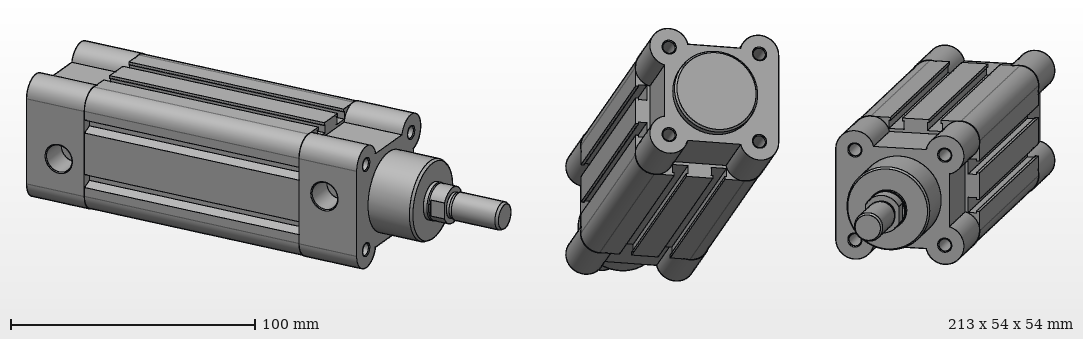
import cadquery as cq

overall_length = 213.0
plug_length = 4.0
cap_length = 27.0
barrel_length = 100.5
collar_length = 20.7

rear_cap_start = plug_length
barrel_start = rear_cap_start + cap_length
barrel_end = barrel_start + barrel_length
front_cap_end = barrel_end + cap_length
collar_end = front_cap_end + collar_length

cap_half_width = 27.0
lobe_offset = 19.0
lobe_radius = cap_half_width - lobe_offset
block_half_width = 20.9
collar_radius = 17.5
plug_chamfer_length = 0.9
plug_chamfer_depth = 0.9
collar_chamfer_length = 1.3
collar_chamfer_depth = 0.6

screw_radius = 2.5
screw_depth = 15.0
screw_chamfer = 0.5
port_radius = 6.0
port_chamfer = 0.5
port_depth = 12.8
port_inset = 15.1
port_height = 4.7

barrel_half_width = 26.8
barrel_corner_radius = barrel_half_width - lobe_offset
slot_offset = 8.0
slot_mouth_width = 5.1
slot_width = 6.4
slot_lip = 1.3
slot_depth = 4.7
groove_offset = 12.1
groove_mouth_width = 5.8
groove_floor_width = 2.5
groove_depth = 4.3

rod_radius = 8.0
rod_shoulder_length = 1.7
rod_taper_length = 0.6
neck_radius = 7.9
neck_end = 188.7
flat_half_width = 7.0
flat_start = 182.3
relief_radius = 5.5
relief_end = 190.0
thread_radius = 6.0
thread_start = 191.3
tip_chamfer_length = 1.3
tip_chamfer_depth = 0.6

SIGNS = (-1, 1)
CORNERS = [(lobe_offset * y, lobe_offset * z) for y in SIGNS for z in SIGNS]


def cross_section(x):
    """Sketch plane across the cylinder axis at x, with local axes along Y and Z."""
    return cq.Workplane("YZ", origin=(x, 0, 0))


def revolve_about_axis(half_profile):
    """Solid of revolution about the cylinder axis from (x, radius) points."""
    return cq.Workplane("XY").polyline(half_profile).close().revolve(360, (0, 0), (1, 0))


def cap_block(start):
    """Cap body: recessed on +Y and both Z sides, flat to its full width on -Y."""
    width = 2 * block_half_width
    plane = cross_section(start)
    square_depth = block_half_width + lobe_offset
    square_centre = (block_half_width - lobe_offset) / 2
    block = plane.center(square_centre, 0).rect(square_depth, width).extrude(cap_length)
    flat_side = plane.center(-cap_half_width / 2, 0).rect(cap_half_width, 2 * lobe_offset).extrude(cap_length)
    lobes = plane.pushPoints(CORNERS).circle(lobe_radius).extrude(cap_length)
    return block.union(flat_side).union(lobes)


def cut_chamfered_hole(body, centre, direction, radius, depth, chamfer):
    """Blind hole from centre along direction, with a 45 degree chamfer at its mouth."""
    start = cq.Vector(*centre)
    inward = cq.Vector(*direction)
    bore = cq.Solid.makeCylinder(radius, depth, start, inward)
    mouth = cq.Solid.makeCone(radius + chamfer, radius, chamfer, start, inward)
    return body.cut(cq.Workplane(bore)).cut(cq.Workplane(mouth))


def cut_screw_holes(cap, face_x, inward):
    """Four screw holes in the outer end face of a cap; inward is -1 or 1 along X."""
    for y, z in CORNERS:
        centre = (face_x, y, z)
        cap = cut_chamfered_hole(cap, centre, (inward, 0, 0), screw_radius, screw_depth, screw_chamfer)
    return cap


def cut_port(cap, x, z):
    """Air port in the -Y side of a cap."""
    centre = (x, -cap_half_width, z)
    return cut_chamfered_hole(cap, centre, (0, 1, 0), port_radius, port_depth, port_chamfer)


def chamfered_boss(base_x, tip_x, chamfer_length, chamfer_depth):
    """Round boss on a cap from base_x to tip_x, with its tip edge chamfered."""
    towards_base = 1 if base_x > tip_x else -1
    half_profile = [
        (base_x, 0),
        (base_x, collar_radius),
        (tip_x + towards_base * chamfer_length, collar_radius),
        (tip_x, collar_radius - chamfer_depth),
        (tip_x, 0),
    ]
    return revolve_about_axis(half_profile)


def make_rear_cap():
    plug = chamfered_boss(rear_cap_start, 0, plug_chamfer_length, plug_chamfer_depth)
    cap = cap_block(rear_cap_start).union(plug)
    cap = cut_screw_holes(cap, rear_cap_start, 1)
    return cut_port(cap, rear_cap_start + port_inset, -port_height)


def make_front_cap():
    collar = chamfered_boss(front_cap_end, collar_end, collar_chamfer_length, collar_chamfer_depth)
    cap = cap_block(barrel_end).union(collar)
    cap = cut_screw_holes(cap, front_cap_end, -1)
    return cut_port(cap, front_cap_end - port_inset, port_height)


def t_slot(offset):
    """Cutter for an undercut slot in the +Z side of the barrel."""
    floor = barrel_half_width - slot_depth
    ledge = barrel_half_width - slot_lip
    mouth = cross_section(barrel_start).center(offset, (barrel_half_width + floor) / 2)
    mouth = mouth.rect(slot_mouth_width, slot_depth).extrude(barrel_length)
    chamber = cross_section(barrel_start).center(offset, (ledge + floor) / 2)
    return mouth.union(chamber.rect(slot_width, ledge - floor).extrude(barrel_length))


def tapered_groove(offset):
    """Cutter for a groove in the -Y side of the barrel that narrows towards its floor."""
    mouth = groove_mouth_width / 2
    floor = groove_floor_width / 2
    outline = [
        (-barrel_half_width, offset - mouth),
        (-barrel_half_width, offset + mouth),
        (groove_depth - barrel_half_width, offset + floor),
        (groove_depth - barrel_half_width, offset - floor),
    ]
    return cross_section(barrel_start).polyline(outline).close().extrude(barrel_length)


def make_barrel():
    width = 2 * barrel_half_width
    barrel = cross_section(barrel_start).rect(width, width).extrude(barrel_length)
    barrel = barrel.edges("|X").fillet(barrel_corner_radius)
    for side in SIGNS:
        slot = t_slot(side * slot_offset)
        for turn in (0, -90, 180):
            barrel = barrel.cut(slot.rotate((0, 0, 0), (1, 0, 0), turn))
        barrel = barrel.cut(tapered_groove(side * groove_offset))
    return barrel


def make_rod():
    """Rod from the collar face outwards, with wrench flats, thread relief and threaded end."""
    shoulder_end = collar_end + rod_shoulder_length
    half_profile = [
        (collar_end, 0),
        (collar_end, rod_radius),
        (shoulder_end, rod_radius),
        (shoulder_end + rod_taper_length, neck_radius),
        (neck_end, neck_radius),
        (neck_end, relief_radius),
        (relief_end, relief_radius),
        (thread_start, thread_radius),
        (overall_length - tip_chamfer_length, thread_radius),
        (overall_length, thread_radius - tip_chamfer_depth),
        (overall_length, 0),
    ]
    rod = revolve_about_axis(half_profile)
    flat_cut_depth = rod_radius - flat_half_width
    for side in SIGNS:
        centre = side * (flat_half_width + flat_cut_depth / 2)
        flat = cross_section(flat_start).center(centre, 0)
        rod = rod.cut(flat.rect(flat_cut_depth, 2 * rod_radius).extrude(neck_end - flat_start))
    return rod


rear_cap = make_rear_cap()
barrel = make_barrel()
front_cap = make_front_cap()
rod = make_rod()

result = cq.Compound.makeCompound([rear_cap.val(), barrel.val(), front_cap.val(), rod.val()])